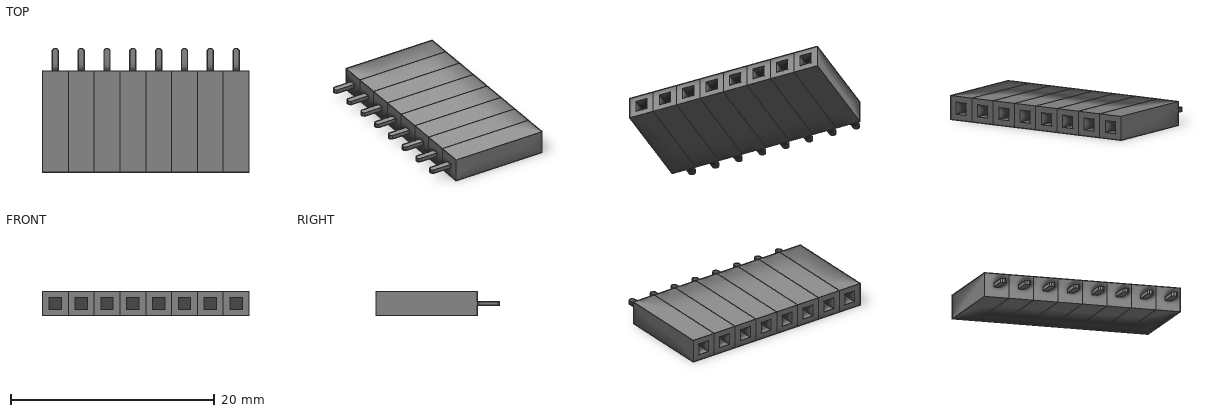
import cadquery as cq

contact_count = 8
row_length = 20.32
overall_depth = 12.2
housing_height = 2.4
housing_depth = 10.0
socket_size = 1.2
socket_depth = 8.13
pin_width = 0.6
pin_thickness = 0.39
tip_chamfer = 0.18

pitch = row_length / contact_count
pin_length = overall_depth - housing_depth


def make_housing():
    """Plain block with its front face on Y = 0, centred on X and Z."""
    return cq.Workplane("XY").box(pitch, housing_depth, housing_height, centered=(True, False, True))


def make_socket():
    """Square blind cavity that opens on the front face."""
    return cq.Workplane("XY").box(socket_size, socket_depth, socket_size, centered=(True, False, True))


def make_pin():
    """Flat pin standing on the back face, with both side corners of its tip chamfered."""
    pin = cq.Workplane("XY").box(pin_width, pin_length, pin_thickness, centered=(True, False, True))
    pin = pin.faces(">Y").edges("|Z").chamfer(tip_chamfer)
    return pin.translate((0, housing_depth, 0))


def make_contact_block(x_center):
    """One contact of the row: housing, socket and pin as a single solid."""
    block = make_housing().cut(make_socket()).union(make_pin())
    return block.translate((x_center, 0, 0))


first_x = (pitch - row_length) / 2
contact_blocks = []
for index in range(contact_count):
    block = make_contact_block(first_x + index * pitch)
    contact_blocks.append(block.val())

result = cq.Compound.makeCompound(contact_blocks)